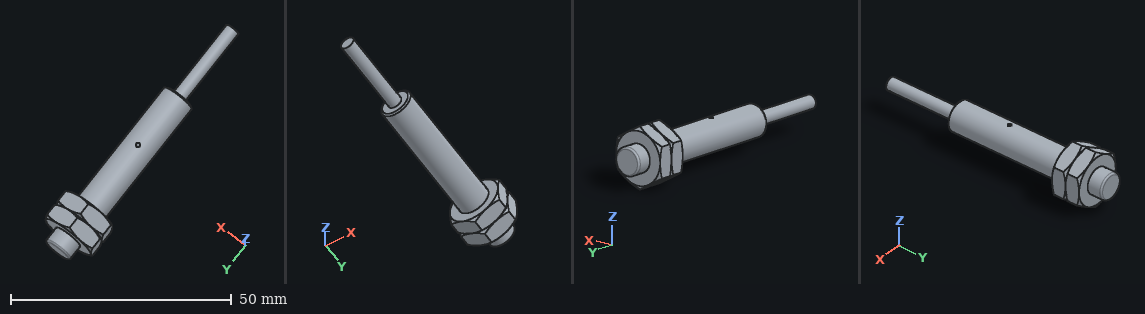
import cadquery as cq
import math

total_length = 65.0
cable_length = 20.0
tip_length = 3.95
nut_thickness = 4.0
nut_count = 2
indicator_y = 35.1

cable_diameter = 3.45
body_diameter = 8.0
tip_diameter = 6.95
nut_across_flats = 13.0

body_chamfer_length = 0.3
body_chamfer_depth = 0.5
tip_rounding = 0.45
nut_face_diameter = 12.95
nut_chamfer_angle = 30.0
indicator_diameter = 1.0
indicator_depth = 0.45
lens_height = 0.3

nut_front_y = total_length - tip_length
nut_corner_diameter = nut_across_flats / math.cos(math.radians(30))


def rod(diameter, start_y, end_y):
    """Round bar along the Y axis."""
    plane = cq.Workplane("XZ", origin=(0, start_y, 0))
    return plane.circle(diameter / 2).extrude(start_y - end_y)


def make_nut(start_y):
    """Hexagon nut with corners up and down, and conical chamfers on both faces."""
    end_y = start_y + nut_thickness
    hexagon = (
        cq.Workplane("XZ", origin=(0, start_y, 0))
        .transformed(rotate=(0, 0, 90))
        .polygon(6, nut_corner_diameter)
        .extrude(-nut_thickness)
    )
    face_radius = nut_face_diameter / 2
    rim_radius = nut_corner_diameter / 2
    chamfer_length = (rim_radius - face_radius) * math.tan(math.radians(nut_chamfer_angle))
    envelope = (
        cq.Workplane("XY")
        .moveTo(0, start_y)
        .lineTo(face_radius, start_y)
        .lineTo(rim_radius, start_y + chamfer_length)
        .lineTo(rim_radius, end_y - chamfer_length)
        .lineTo(face_radius, end_y)
        .lineTo(0, end_y)
        .close()
        .revolve(360, (0, 0, 0), (0, 1, 0))
    )
    return hexagon.intersect(envelope)


def make_body():
    """Sensor barrel, chamfered around the cable outlet."""
    barrel = rod(body_diameter, cable_length, nut_front_y)
    outlet_edge = barrel.faces("<Y").edges()
    return outlet_edge.chamfer(body_chamfer_length, body_chamfer_depth)


def make_tip():
    """Sensing tip with a rounded rim at its free end."""
    bar = rod(tip_diameter, nut_front_y, total_length)
    return bar.faces(">Y").edges().fillet(tip_rounding)


def make_indicator_pocket():
    """Round pocket in the top of the barrel, with a domed lens as its floor."""
    lens_radius = indicator_diameter / 2
    dome_radius = (lens_radius**2 + lens_height**2) / (2 * lens_height)
    floor_z = body_diameter / 2 - indicator_depth
    dome_center_z = floor_z + lens_height - dome_radius
    bore = (
        cq.Workplane("XY", origin=(0, indicator_y, floor_z))
        .circle(lens_radius)
        .extrude(2 * indicator_depth)
    )
    dome = cq.Workplane("XY", origin=(0, indicator_y, dome_center_z)).sphere(dome_radius)
    return bore.cut(dome)


cable = rod(cable_diameter, 0, cable_length)
tip = make_tip()

result = make_body().union(cable).union(tip)
for index in range(nut_count):
    result = result.union(make_nut(nut_front_y - (index + 1) * nut_thickness))
result = result.cut(make_indicator_pocket())